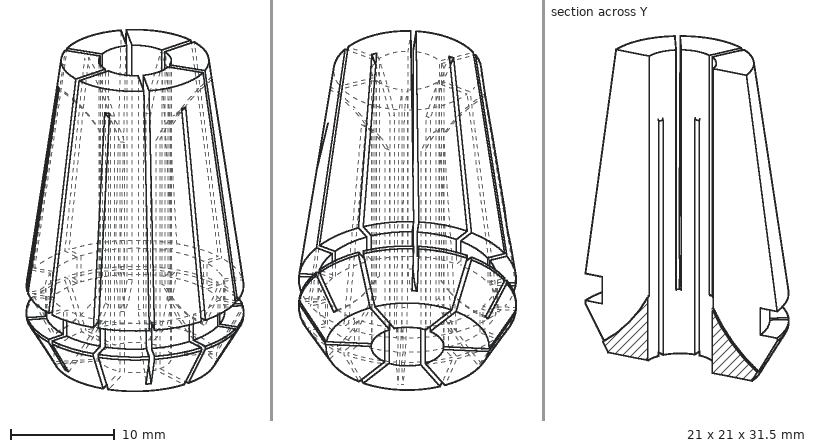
import cadquery as cq
import math

length = 31.5
max_diameter = 20.98
bore_diameter = 7.0
taper_angle = 8.0

groove_top = 7.62
groove_bottom = 4.85
groove_diameter = 17.32
rim_height = 0.3
nose_angle = 30.0

slots_per_end = 6
slot_width = 0.5
saw_radius = 15.75
cut_clearance = 1.58

top_slot_in_bore = (3.43, 6.8)
top_slot_outside = (8.65, 0.88)
bottom_slot_in_bore = (3.43, 24.25)
bottom_slot_outside = (7.65, 29.25)

max_radius = max_diameter / 2
bore_radius = bore_diameter / 2
groove_radius = groove_diameter / 2
rim_bottom = groove_bottom - rim_height
top_radius = max_radius - (length - groove_top) * math.tan(math.radians(taper_angle))
bottom_radius = max_radius - rim_bottom * math.tan(math.radians(nose_angle))
slot_pitch = 360.0 / slots_per_end


def collet_body():
    """Bored double cone with its retaining groove, turned about Z."""
    profile = [
        (bore_radius, 0),
        (bottom_radius, 0),
        (max_radius, rim_bottom),
        (max_radius, groove_bottom),
        (groove_radius, groove_bottom),
        (groove_radius, groove_top),
        (max_radius, groove_top),
        (top_radius, length),
        (bore_radius, length),
    ]
    return cq.Workplane("XZ").polyline(profile).close().revolve(360, (0, 0), (0, 1))


def slot_cutter(in_bore, outside, open_height, arc_radius):
    """Slot along +X, open at open_height; the sign of arc_radius sets which way its floor curves."""
    outer_reach = max_radius + cut_clearance
    return (
        cq.Workplane("XZ")
        .moveTo(*in_bore)
        .radiusArc(outside, arc_radius)
        .lineTo(outer_reach, outside[1])
        .lineTo(outer_reach, open_height)
        .lineTo(in_bore[0], open_height)
        .close()
        .extrude(slot_width / 2, both=True)
    )


def cut_slot_ring(body, cutter, first_angle):
    """Repeat one slot evenly around the axis."""
    for index in range(slots_per_end):
        angle = first_angle + index * slot_pitch
        body = body.cut(cutter.rotate((0, 0, 0), (0, 0, 1), angle))
    return body


top_slot = slot_cutter(top_slot_in_bore, top_slot_outside, length + cut_clearance, -saw_radius)
bottom_slot = slot_cutter(bottom_slot_in_bore, bottom_slot_outside, -cut_clearance, saw_radius)

result = collet_body()
result = cut_slot_ring(result, top_slot, 0)
result = cut_slot_ring(result, bottom_slot, slot_pitch / 2)